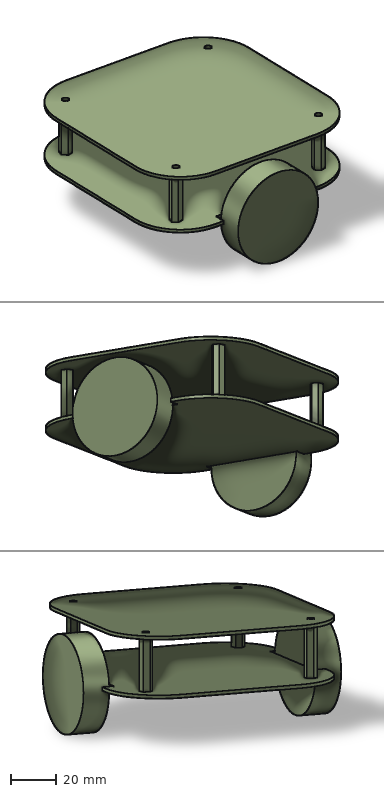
import cadquery as cq

overall_width = 125.0
overall_height = 51.4
plate_side = 108.0
plate_thickness = 1.6
plate_corner_radius = 25.4
wheel_diameter = 45.0
wheel_width = 12.5
wheel_clearance = 1.5
post_length = 25.0
post_corner_diameter = 6.0
post_spacing = 80.0
screw_hole_diameter = 3.2

post_turns = {(-1, -1): 45, (1, -1): 45, (-1, 1): 30, (1, 1): 45}

top_plate_base = overall_height - plate_thickness
post_base = top_plate_base - post_length
bottom_plate_base = post_base - plate_thickness
wheel_inner_face = overall_width / 2 - wheel_width
notch_floor = wheel_inner_face - wheel_clearance
notch_depth = plate_side / 2 - notch_floor
notch_length = wheel_diameter + 2 * wheel_clearance


def make_plate_blank(base):
    """Square plate with rounded corners."""
    blank = cq.Workplane("XY", origin=(0, 0, base)).rect(plate_side, plate_side).extrude(plate_thickness)
    return blank.edges("|Z").fillet(plate_corner_radius)


def make_top_plate():
    """Plate with a screw hole above each post."""
    plate = make_plate_blank(top_plate_base)
    return (
        plate.faces(">Z")
        .workplane(origin=(0, 0, overall_height))
        .rect(post_spacing, post_spacing, forConstruction=True)
        .vertices()
        .hole(screw_hole_diameter)
    )


def make_bottom_plate():
    """Plate with a rectangular notch in each side, clearing the wheels."""
    plate = make_plate_blank(bottom_plate_base)
    for side in (-1, 1):
        notch_center = side * (notch_floor + notch_depth / 2)
        notch = (
            cq.Workplane("XY", origin=(notch_center, 0, bottom_plate_base))
            .rect(notch_depth, notch_length)
            .extrude(plate_thickness)
        )
        plate = plate.cut(notch)
    return plate


def make_post(x_side, y_side, turn):
    """Hexagonal spacer between the plates."""
    center = (x_side * post_spacing / 2, y_side * post_spacing / 2, post_base)
    return (
        cq.Workplane("XY", origin=center)
        .transformed(rotate=(0, 0, turn))
        .polygon(6, post_corner_diameter)
        .extrude(post_length)
    )


def make_wheel(side):
    """Plain disc with its axis along X, resting on the ground plane."""
    return (
        cq.Workplane("YZ", origin=(side * wheel_inner_face, 0, wheel_diameter / 2))
        .circle(wheel_diameter / 2)
        .extrude(side * wheel_width)
    )


top_plate = make_top_plate()
bottom_plate = make_bottom_plate()
posts = [make_post(x_side, y_side, turn) for (x_side, y_side), turn in post_turns.items()]
wheels = [make_wheel(side) for side in (-1, 1)]

result = cq.Compound.makeCompound(
    [
        top_plate.val(),
        bottom_plate.val(),
        *[post.val() for post in posts],
        *[wheel.val() for wheel in wheels],
    ]
)